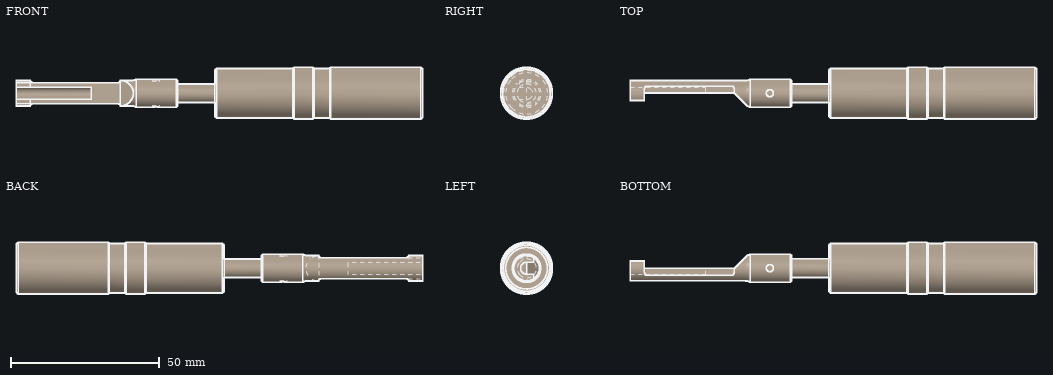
import cadquery as cq
import math


total_length = 136.53
handle_start = 66.68
front_grip_end = 92.9
ring_end = 100.0
neck_end = 105.2
hook_length = 4.76
slot_end = 25.2
blade_end = 35.0
socket_start = 40.4
socket_end = 54.2
cross_hole_station = 46.9

tip_diameter = 8.6
socket_diameter = 9.53
rod_diameter = 6.35
grip_diameter = 16.7
ring_diameter = 17.46
face_recess_diameter = 13.97
cross_hole_diameter = 2.39

socket_chamfer = 0.5
grip_chamfer = 0.6
end_chamfer = 0.7
face_recess_depth = 0.6
cross_hole_depth = 0.8
socket_flare_radius = 3.18

blade_width = 7.14
blade_corner_radius = 0.79
hook_front = -2.48
slot_width = 3.97


def box_between(x_range, y_range, z_range):
    """Box spanning the given (low, high) ranges."""
    size = [high - low for low, high in (x_range, y_range, z_range)]
    corner = (x_range[0], y_range[0], z_range[0])
    return cq.Workplane("XY").box(*size, centered=False).translate(corner)


def turned_body():
    """Tip, socket, rod and handle as one turned solid."""
    tip_radius = tip_diameter / 2
    socket_radius = socket_diameter / 2
    rod_radius = rod_diameter / 2
    grip_radius = grip_diameter / 2
    ring_radius = ring_diameter / 2
    step = ring_radius - grip_radius
    recess_radius = face_recess_diameter / 2
    recess_floor = handle_start + face_recess_depth
    flare_height = socket_radius - tip_radius
    flare_angle = math.acos(1 - flare_height / socket_flare_radius)
    flare_start = socket_start - socket_flare_radius * math.sin(flare_angle)
    flare_middle = (
        flare_start + socket_flare_radius * math.sin(flare_angle / 2),
        tip_radius + socket_flare_radius * (1 - math.cos(flare_angle / 2)),
    )
    outline = (
        cq.Workplane("XY")
        .lineTo(0, tip_radius)
        .lineTo(flare_start, tip_radius)
        .threePointArc(flare_middle, (socket_start, socket_radius))
        .lineTo(socket_end - socket_chamfer, socket_radius)
        .lineTo(socket_end, socket_radius - socket_chamfer)
        .lineTo(socket_end, rod_radius)
        .lineTo(recess_floor, rod_radius)
        .lineTo(recess_floor, recess_radius)
        .lineTo(handle_start, recess_radius)
        .lineTo(handle_start, grip_radius - grip_chamfer)
        .lineTo(handle_start + grip_chamfer, grip_radius)
        .lineTo(front_grip_end, grip_radius)
        .lineTo(front_grip_end + step, ring_radius)
        .lineTo(ring_end - step, ring_radius)
        .lineTo(ring_end, grip_radius)
        .lineTo(neck_end, grip_radius)
        .lineTo(neck_end + step, ring_radius)
        .lineTo(total_length - end_chamfer, ring_radius)
        .lineTo(total_length, ring_radius - end_chamfer)
        .lineTo(total_length, 0)
        .close()
    )
    return outline.revolve(360, (0, 0, 0), (1, 0, 0))


def front_relief():
    """Material cleared ahead of the blade, ending in a 45 degree ramp."""
    depth = socket_diameter
    return (
        cq.Workplane("XY")
        .moveTo(hook_length, 0)
        .lineTo(blade_end, 0)
        .lineTo(blade_end + depth, -depth)
        .lineTo(hook_length, -depth)
        .close()
        .extrude(socket_diameter, both=True)
    )


def blade_flat(side):
    """Side cut that narrows the blade; side is +1 for +Z and -1 for -Z."""
    reach = socket_diameter
    inner = blade_width / 2
    outer = inner + reach
    cut = box_between((hook_length, blade_end), (-reach, reach), (inner, outer))
    cut = cut.edges("|Y and <Z").fillet(blade_corner_radius)
    return cut if side > 0 else cut.mirror("XY")


def hook_slot():
    """Round-bottomed slot along the axis, open at the tip and at the front."""
    half = slot_width / 2
    round_bottom = cq.Workplane("YZ").circle(half).extrude(slot_end)
    opening = box_between((0, slot_end), (-socket_diameter, 0), (-half, half))
    return round_bottom.union(opening)


def hook_face_cut():
    """Flat that trims the front of the hook."""
    reach = socket_diameter
    return box_between((0, hook_length), (hook_front - reach, hook_front), (-reach, reach))


def cross_hole(side):
    """Blind cross hole in the socket; side is +1 for +Z and -1 for -Z."""
    floor = socket_diameter / 2 - cross_hole_depth
    hole = (
        cq.Workplane("XY", origin=(cross_hole_station, 0, floor))
        .circle(cross_hole_diameter / 2)
        .extrude(socket_diameter)
    )
    return hole if side > 0 else hole.mirror("XY")


result = turned_body().cut(front_relief()).cut(hook_slot()).cut(hook_face_cut())
for side in (1, -1):
    result = result.cut(blade_flat(side)).cut(cross_hole(side))